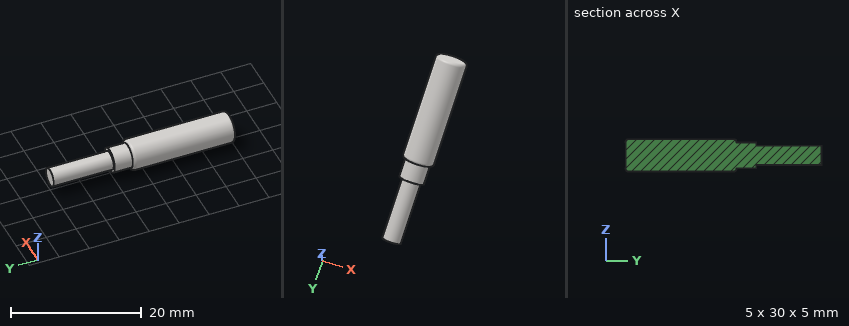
import cadquery as cq

total_length = 30.0
stem_length = 10.0
collar_length = 3.0
body_length = total_length - stem_length - collar_length

body_diameter = 5.0
collar_diameter = 4.0
stem_diameter = 3.0
edge_radius = (body_diameter - collar_diameter) / 2


def cylinder_along_y(diameter, start, length):
    """Solid cylinder on the Y axis, running from start toward +Y."""
    base = cq.Plane(origin=(0, start, 0), xDir=(1, 0, 0), normal=(0, 1, 0))
    return cq.Workplane(base).circle(diameter / 2).extrude(length)


body = cylinder_along_y(body_diameter, 0, body_length).edges("%CIRCLE").fillet(edge_radius)
collar = cylinder_along_y(collar_diameter, body_length, collar_length)
stem = cylinder_along_y(stem_diameter, body_length + collar_length, stem_length)

result = body.union(collar).union(stem)